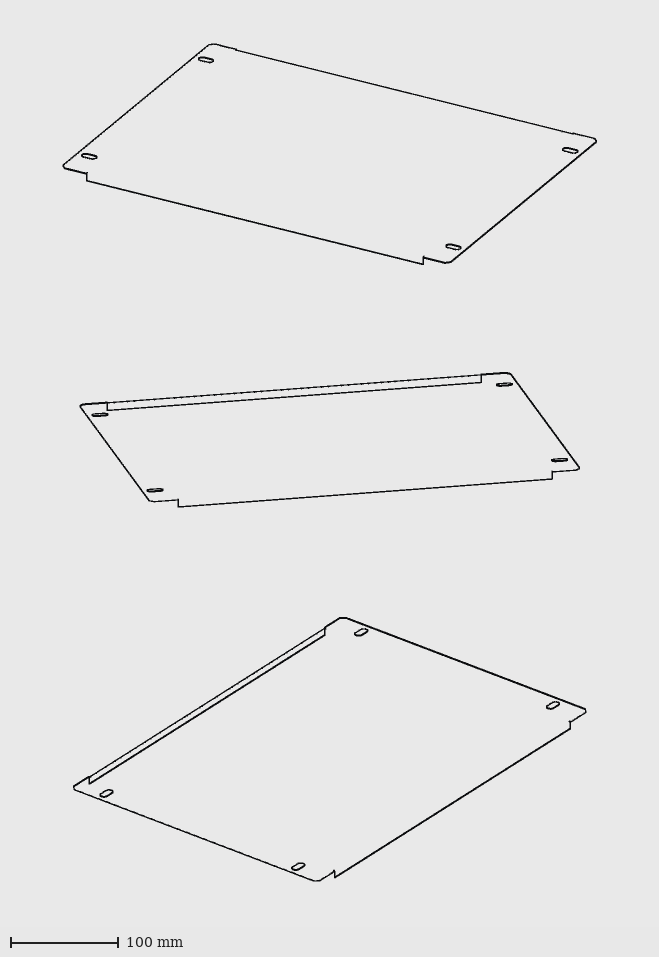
import cadquery as cq

plate_length = 410.0
plate_width = 289.0
overall_height = 8.0
sheet_thickness = 1.0
corner_chamfer = 4.0

flange_length = 356.0
inner_bend_radius = 1.0
outer_bend_radius = inner_bend_radius + sheet_thickness

slot_length = 15.0
slot_width = 7.5
slot_pitch_x = 385.0
slot_pitch_y = 225.0


def make_plate():
    """Flat plate with chamfered corners."""
    return (
        cq.Workplane("XY")
        .rect(plate_length, plate_width)
        .extrude(-sheet_thickness)
        .edges("|Z")
        .chamfer(corner_chamfer)
    )


def make_folded_channel():
    """Plate middle and both flanges as one channel with rounded bends."""
    channel = (
        cq.Workplane("XY")
        .box(flange_length, plate_width, overall_height, centered=(True, True, False))
        .translate((0, 0, -overall_height))
        .edges("|X and >Z")
        .fillet(outer_bend_radius)
    )
    cavity = (
        cq.Workplane("XY")
        .box(
            flange_length,
            plate_width - 2 * sheet_thickness,
            overall_height - sheet_thickness,
            centered=(True, True, False),
        )
        .translate((0, 0, -overall_height))
        .edges("|X and >Z")
        .fillet(inner_bend_radius)
    )
    return channel.cut(cavity)


def make_bend_clearance():
    """Full-thickness window in the plate that the folded channel fills."""
    return (
        cq.Workplane("XY")
        .rect(flange_length, plate_width)
        .extrude(-sheet_thickness)
    )


def make_slots():
    """Four mounting slots, one near each corner, long along X."""
    return (
        cq.Workplane("XY")
        .rect(slot_pitch_x, slot_pitch_y, forConstruction=True)
        .vertices()
        .slot2D(slot_length, slot_width)
        .extrude(-sheet_thickness)
    )


result = (
    make_plate()
    .cut(make_bend_clearance())
    .union(make_folded_channel())
    .cut(make_slots())
)